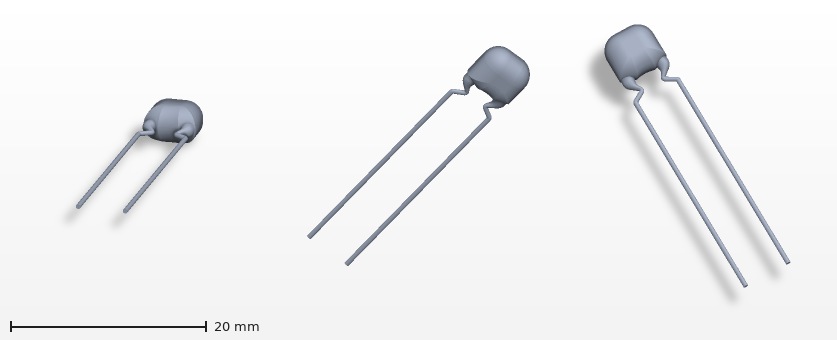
import cadquery as cq
import math

total_length = 30.0
width = 5.5
thickness = 4.0
top_y = total_length / 2
end_y = top_y - total_length

round_radius = 1.85
body_depth = 4.98
hollow_radius = 3.55
facet_radius = 1.98
corner_turn = 20.0

wire_radius = 0.25
bend_radius = 0.27
bend_angle = math.radians(60)
lead_x = width / 2 - wire_radius
neck_x = 1.3
neck_depth = 6.42
neck_y = top_y - neck_depth

neck_sections = [
    (4.35, 1.98, 0.65),
    (4.95, 1.98, 0.72),
    (5.52, 1.98, 0.57),
    (6.1, 1.55, 0.35),
    (neck_depth, neck_x, wire_radius),
]


def make_rounded_block():
    """Block rounded everywhere except around its lead end."""
    block = cq.Workplane("XY").box(width, neck_depth, thickness)
    block = block.translate((0, top_y - neck_depth / 2, 0))
    return block.edges("not <Y").fillet(round_radius)


def make_hollow_end_ring():
    """Ring whose round inner rim forms the concave lead end."""
    axis_y = top_y - body_depth - hollow_radius
    half_thickness = thickness / 2
    rim_flat = half_thickness - round_radius
    rim_center = hollow_radius + round_radius
    outer_radius = hollow_radius + neck_depth
    diagonal = round_radius * math.sqrt(0.5)
    profile = (
        cq.Workplane("XZ", origin=(0, axis_y, 0))
        .moveTo(outer_radius, -half_thickness)
        .lineTo(rim_center, -half_thickness)
        .threePointArc((rim_center - diagonal, -rim_flat - diagonal), (hollow_radius, -rim_flat))
        .lineTo(hollow_radius, rim_flat)
        .threePointArc((rim_center - diagonal, rim_flat + diagonal), (rim_center, half_thickness))
        .lineTo(outer_radius, half_thickness)
        .close()
    )
    return profile.revolve(360, (0, 0, 0), (0, 1, 0))


def make_corner_facet(side):
    """Oversized block whose rounded end bevels one lead-end corner; side is -1 or 1."""
    flat_corner_x = width / 2 - round_radius
    flat_corner_y = top_y - body_depth + round_radius
    facet_end_y = flat_corner_y - facet_radius
    reach = 2 * width
    block = cq.Workplane("XY").box(2 * reach, reach, thickness)
    block = block.translate((side * flat_corner_x, facet_end_y + reach / 2, 0))
    block = block.edges("|X and <Y").fillet(facet_radius)
    pivot = (side * flat_corner_x, flat_corner_y, 0)
    pivot_top = (side * flat_corner_x, flat_corner_y, 1)
    return block.rotate(pivot, pivot_top, side * corner_turn)


def make_neck(side):
    """Tapered coating around one lead; side is -1 or 1."""
    sections = []
    for depth, offset, radius in neck_sections:
        center = cq.Vector(side * offset, top_y - depth, 0)
        sections.append(cq.Wire.makeCircle(radius, center, cq.Vector(0, -1, 0)))
    return cq.Workplane(cq.Solid.makeLoft(sections))


def make_coating():
    body = make_rounded_block().intersect(make_hollow_end_ring())
    for side in (-1, 1):
        body = body.intersect(make_corner_facet(side))
    for side in (-1, 1):
        body = body.union(make_neck(side))
    return body


def make_lead(side):
    """One wire with an outward jog; side is -1 or 1."""
    def point(x, y):
        return (side * x, y)

    sine = math.sin(bend_angle)
    cosine = math.cos(bend_angle)
    half_sine = math.sin(bend_angle / 2)
    half_cosine = math.cos(bend_angle / 2)
    first_x = neck_x + bend_radius
    second_x = lead_x - bend_radius
    jog_start = (first_x - bend_radius * cosine, neck_y - bend_radius * sine)
    jog_end_x = second_x + bend_radius * cosine
    jog_end_y = jog_start[1] - (jog_end_x - jog_start[0]) * cosine / sine
    second_y = jog_end_y - bend_radius * sine
    path = (
        cq.Workplane("XY")
        .moveTo(*point(neck_x, neck_y))
        .threePointArc(
            point(first_x - bend_radius * half_cosine, neck_y - bend_radius * half_sine),
            point(*jog_start),
        )
        .lineTo(*point(jog_end_x, jog_end_y))
        .threePointArc(
            point(second_x + bend_radius * half_cosine, second_y + bend_radius * half_sine),
            point(lead_x, second_y),
        )
        .lineTo(*point(lead_x, end_y))
    )
    start = cq.Workplane("XZ", origin=(side * neck_x, neck_y, 0))
    return start.circle(wire_radius).sweep(path)


coating = make_coating()
leads = [make_lead(side) for side in (-1, 1)]

result = cq.Compound.makeCompound([coating.val(), *[lead.val() for lead in leads]])